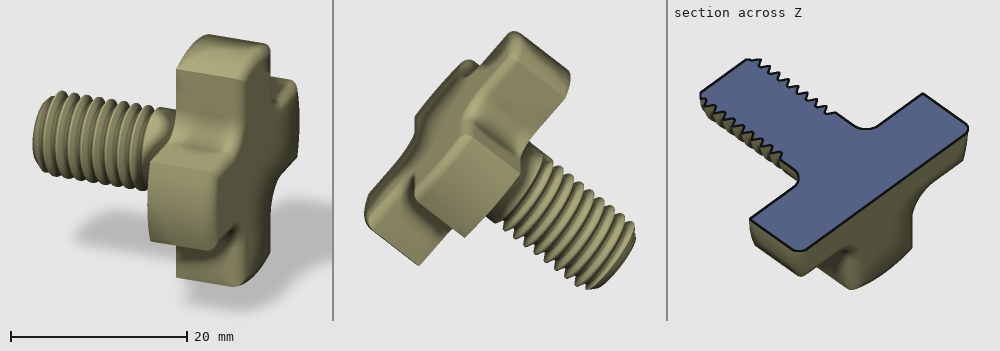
import cadquery as cq
import math

HEAD_DIAMETER = 28.0
HEAD_THICKNESS = 8.0
ARM_WIDTH = 10.0
ARM_CORNER_RADIUS = 3.0
HEAD_EDGE_RADIUS = 1.25

SHANK_DIAMETER = 9.76
SHANK_LENGTH = 18.0
NECK_RADIUS = 2.0
TIP_DIAMETER = 7.4
BLANK_EXTRA = 3.0

PITCH = 1.5
ROOT_DIAMETER = 8.0
CREST_WIDTH = PITCH / 8
FLANK_HALF_ANGLE = math.radians(30)
THREAD_TURNS = 10
GROOVE_OVERCUT = 0.1
THREAD_END = 13.9

SHANK_RADIUS = SHANK_DIAMETER / 2
TIP_X = -SHANK_LENGTH
BLANK_END_X = TIP_X - BLANK_EXTRA


def make_head():
    """Cross of two arms, trimmed to a disc and rounded on its outer edges."""
    disc = cq.Workplane("YZ").circle(HEAD_DIAMETER / 2).extrude(HEAD_THICKNESS)
    cross = (
        cq.Workplane("YZ")
        .rect(ARM_WIDTH, HEAD_DIAMETER)
        .extrude(HEAD_THICKNESS)
        .union(cq.Workplane("YZ").rect(HEAD_DIAMETER, ARM_WIDTH).extrude(HEAD_THICKNESS))
    )
    reach = ARM_WIDTH / 2 + ARM_CORNER_RADIUS
    inner_corners = cq.selectors.BoxSelector((0, -reach, -reach), (HEAD_THICKNESS, reach, reach))
    cross = cross.edges("|X").edges(inner_corners).fillet(ARM_CORNER_RADIUS)
    return cross.intersect(disc).faces(">X").edges().fillet(HEAD_EDGE_RADIUS)


def revolve_about_x(profile):
    """Turn a closed XY profile about X, with the face seams on the -Y side, away from the thread end."""
    return profile.revolve(360, (0, 0, 0), (1, 0, 0)).rotate((0, 0, 0), (1, 0, 0), 180)


def make_shank_blank():
    """Plain cylinder, longer than the finished shank, with the concave neck blend."""
    neck_outer_radius = SHANK_RADIUS + NECK_RADIUS
    embed_x = HEAD_THICKNESS / 2
    arc_drop = NECK_RADIUS * (1 - math.sqrt(0.5))
    return revolve_about_x(
        cq.Workplane("XY")
        .moveTo(BLANK_END_X, 0)
        .lineTo(BLANK_END_X, SHANK_RADIUS)
        .lineTo(-NECK_RADIUS, SHANK_RADIUS)
        .threePointArc((-arc_drop, SHANK_RADIUS + arc_drop), (0, neck_outer_radius))
        .lineTo(embed_x, neck_outer_radius)
        .lineTo(embed_x, 0)
        .close()
    )


def make_tip_cutter():
    """Everything beyond the flat tip and its 45 degree chamfer."""
    tip_radius = TIP_DIAMETER / 2
    cutter_radius = SHANK_RADIUS + BLANK_EXTRA
    cutter_end_x = BLANK_END_X - BLANK_EXTRA
    return revolve_about_x(
        cq.Workplane("XY")
        .moveTo(TIP_X, 0)
        .lineTo(TIP_X, tip_radius)
        .lineTo(TIP_X + cutter_radius - tip_radius, cutter_radius)
        .lineTo(cutter_end_x, cutter_radius)
        .lineTo(cutter_end_x, 0)
        .close()
    )


def make_groove_turn():
    """Cutter for the last turn of the groove, which ends on the +Y side of the shank."""
    root_radius = ROOT_DIAMETER / 2
    outer_radius = SHANK_RADIUS + GROOVE_OVERCUT
    slope = math.tan(FLANK_HALF_ANGLE)
    half_opening = (PITCH - CREST_WIDTH) / 2
    half_outer = half_opening + GROOVE_OVERCUT * slope
    half_root = half_opening - (SHANK_RADIUS - root_radius) * slope

    helix = cq.Workplane(cq.Wire.makeHelix(PITCH, PITCH, root_radius))
    groove = (
        cq.Workplane("XZ")
        .polyline([
            (root_radius, -half_root),
            (outer_radius, -half_outer),
            (outer_radius, half_outer),
            (root_radius, half_root),
        ])
        .close()
        .sweep(helix, isFrenet=True)
    )
    groove = groove.rotate((0, 0, 0), (1, 1, 1), 120)
    return groove.translate((TIP_X + THREAD_END - PITCH, 0, 0))


def make_shank():
    """Cut the groove into the blank turn by turn from the head end, then form the tip."""
    shank = make_shank_blank()
    groove_turn = make_groove_turn()
    for turn in range(THREAD_TURNS):
        shank = shank.cut(groove_turn.translate((-turn * PITCH, 0, 0)))
    return shank.cut(make_tip_cutter())


result = make_head().union(make_shank())